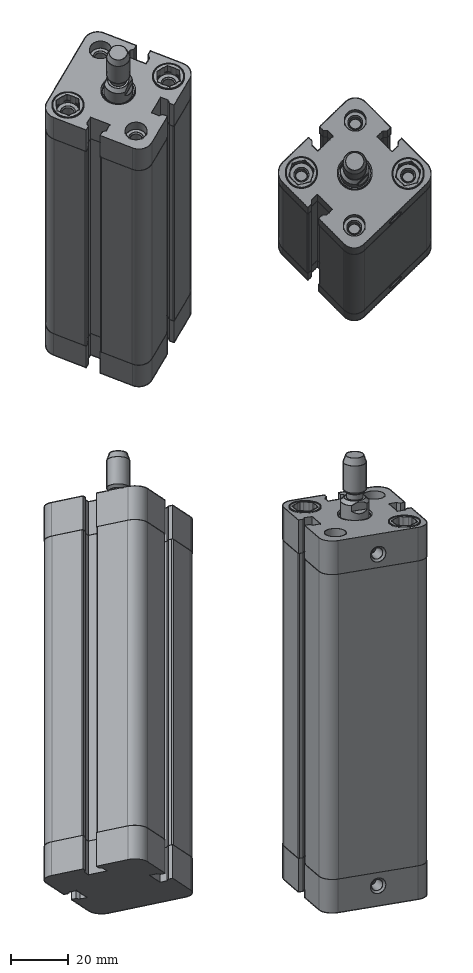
import cadquery as cq

total_height = 161.0
body_side = 40.2
body_height = 139.0
cap_height = 12.5
cap_corner_radius = 5.0
barrel_corner_radius = 5.2
barrel_height = body_height - 2 * cap_height
half_side = body_side / 2

slot_angles = (-90, 0, 90)
slot_opening = 5.3
slot_width = 7.4
slot_depth = 5.6
slot_lip = 1.8
slot_undercut = (slot_width - slot_opening) / 2
barrel_slot_chamfer = 0.5

hole_spacing = 26.1
hole_offset = hole_spacing / 2
plain_hole_places = [(-hole_offset, hole_offset), (hole_offset, -hole_offset)]
socket_places = [(hole_offset, hole_offset), (-hole_offset, -hole_offset)]
thread_diameter = 4.2
thread_mouth_diameter = 5.2
thread_length = 4.8
hole_depth = 4.2
plain_hole_diameter = 7.5
socket_bore_diameter = 8.0
socket_hexagon_diameter = 9.0
socket_hexagon_depth = 3.2
socket_groove_outer = 11.1
socket_groove_inner = 10.5
socket_groove_depth = (socket_groove_outer - socket_groove_inner) / 2

port_inset = 7.5
port_mouth_diameter = 5.8
port_depth = 6.5

opening_diameter = 12.0
opening_seat_diameter = 11.1
opening_chamfer = (opening_diameter - opening_seat_diameter) / 2
opening_depth = 1.0

rod_diameter = 10.0
rod_shoulder_height = 6.3
rod_shoulder_chamfer = 1.3
rod_flats_width = 8.0
rod_flats_start = 2.0
neck_diameter = 5.8
neck_length = 2.1
rod_thread_diameter = 8.0
rod_thread_end_diameter = 6.3
rod_thread_runout = 1.0
rod_tip_chamfer = 2.5


def slot_cutter(height, chamfer):
    """The slot of the +X side: a narrow opening with sloped shoulders, and a chamfered edge if any."""
    opening = slot_opening / 2
    inside = slot_width / 2
    lip_x = half_side - slot_lip
    upper = [(half_side, opening + chamfer)]
    if chamfer > 0:
        upper.append((half_side - chamfer, opening))
    upper += [
        (lip_x, opening),
        (lip_x - slot_undercut, inside),
        (half_side - slot_depth, inside),
    ]
    lower = [(x, -y) for x, y in reversed(upper)]
    return cq.Workplane("XY").polyline(upper + lower).close().extrude(height)


def slotted_block(height, corner_radius, slot_chamfer=0.0):
    block = cq.Workplane("XY").rect(body_side, body_side).extrude(height)
    block = block.edges("|Z").fillet(corner_radius)
    cutter = slot_cutter(height, slot_chamfer)
    for angle in slot_angles:
        block = block.cut(cutter.rotate((0, 0, 0), (0, 0, 1), angle))
    return block


def round_cutter(profile):
    """Turn an outline of (radius, height) points about the Z axis."""
    return cq.Workplane("XZ").polyline(profile).close().revolve(360, (0, 0, 0), (0, 1, 0))


def threaded_hole(mouth_diameter, depth):
    """A blind thread hole below Z = 0 with a chamfered mouth."""
    mouth = mouth_diameter / 2
    bore = thread_diameter / 2
    return round_cutter([(0, 0), (mouth, 0), (bore, bore - mouth), (bore, -depth), (0, -depth)])


def plain_hole():
    bore = cq.Workplane("XY").circle(plain_hole_diameter / 2).extrude(-hole_depth)
    return bore.union(threaded_hole(thread_mouth_diameter, thread_length).translate((0, 0, -hole_depth)))


def screw_socket():
    """A bored hexagon socket over a thread hole, ringed by a V-shaped groove."""
    bore = cq.Workplane("XY").circle(socket_bore_diameter / 2).extrude(-hole_depth)
    hexagon = cq.Workplane("XY").polygon(6, socket_hexagon_diameter).extrude(-socket_hexagon_depth)
    groove = round_cutter([
        (socket_groove_inner / 2, 0),
        (socket_groove_outer / 2, 0),
        (socket_groove_outer / 2, -socket_groove_depth),
    ])
    thread = threaded_hole(thread_mouth_diameter, thread_length).translate((0, 0, -hole_depth))
    return bore.union(hexagon).union(thread).union(groove)


def rod_opening():
    """A through hole that fits the rod, with a chamfered seat at its outer end, Z = 0."""
    seat = opening_seat_diameter / 2
    rod = rod_diameter / 2
    return round_cutter([
        (0, 0),
        (opening_diameter / 2, 0),
        (seat, -opening_chamfer),
        (seat, -opening_depth),
        (rod, -opening_depth),
        (rod, -cap_height),
        (0, -cap_height),
    ])


def make_cap(port_height):
    """A cap standing on Z = 0, with an air port in its -X side."""
    cap = slotted_block(cap_height, cap_corner_radius)
    port = threaded_hole(port_mouth_diameter, port_depth).rotate((0, 0, 0), (0, 1, 0), -90)
    return cap.cut(port.translate((-half_side, 0, port_height)))


def make_rear_cap():
    return make_cap(port_inset)


def make_front_cap():
    cap = make_cap(cap_height - port_inset)
    for x, y in plain_hole_places:
        cap = cap.cut(plain_hole().translate((x, y, cap_height)))
    for x, y in socket_places:
        cap = cap.cut(screw_socket().translate((x, y, cap_height)))
    cap = cap.cut(rod_opening().translate((0, 0, cap_height)))
    return cap.translate((0, 0, body_height - cap_height))


def make_barrel():
    barrel = slotted_block(barrel_height, barrel_corner_radius, barrel_slot_chamfer)
    return barrel.translate((0, 0, cap_height))


def make_rod():
    radius = rod_diameter / 2
    neck_radius = neck_diameter / 2
    thread_radius = rod_thread_diameter / 2
    thread_end_radius = rod_thread_end_diameter / 2
    base_z = body_height - cap_height
    shoulder_z = body_height + rod_shoulder_height
    neck_z = shoulder_z + neck_length
    rod = round_cutter([
        (0, base_z),
        (radius, base_z),
        (radius, shoulder_z - rod_shoulder_chamfer),
        (radius - rod_shoulder_chamfer, shoulder_z),
        (neck_radius, shoulder_z),
        (neck_radius, neck_z),
        (thread_end_radius, neck_z),
        (thread_radius, neck_z + rod_thread_runout),
        (thread_radius, total_height - rod_tip_chamfer),
        (thread_end_radius, total_height),
        (0, total_height),
    ])
    flat_x = rod_flats_width / 2
    flats_z = body_height + rod_flats_start
    flat_cutter = (
        cq.Workplane("XZ")
        .polyline([
            (radius, flats_z),
            (flat_x, flats_z + radius - flat_x),
            (flat_x, shoulder_z),
            (radius, shoulder_z),
        ])
        .close()
        .extrude(radius, both=True)
    )
    return rod.cut(flat_cutter).cut(flat_cutter.mirror("YZ"))


barrel = make_barrel()
rear_cap = make_rear_cap()
front_cap = make_front_cap()
piston_rod = make_rod()

result = cq.Compound.makeCompound([barrel.val(), rear_cap.val(), front_cap.val(), piston_rod.val()])